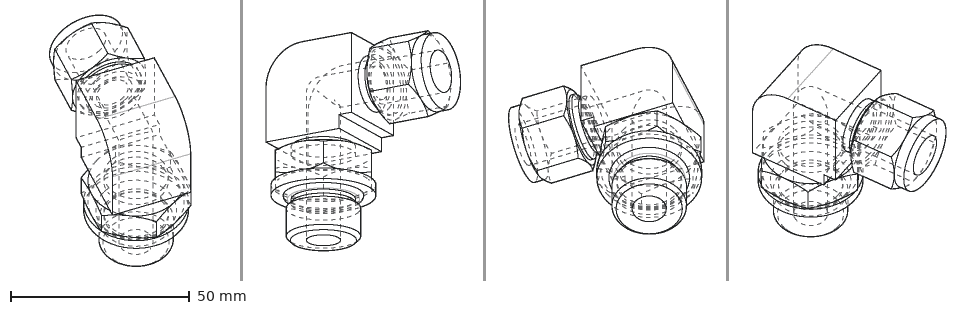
import cadquery as cq
import math


tube_axis_z = 43.5
block_half_width = 11.8
block_left = -15.9
block_bottom = 27.6
step_left = -11.95

tube_end = -38.05
tube_nut_start = -34.9
tube_nut_end = -20.45
tube_nut_flats = 22.0
tube_collar_radius = tube_nut_flats / 2
tube_shoulder_radius = 9.5
tube_shoulder_end = -19.55
tube_cone_end = -18.1
tube_neck_radius = 8.05

stud_radius = 10.45
stud_end_chamfer = 1.2
stud_neck_radius = 9.05
thread_top = 9.5
relief_bottom = thread_top + stud_radius - stud_neck_radius
seal_radius = 11.3
seal_bottom = 12.1
washer_radius = 14.7
washer_bottom = 13.25
stud_nut_bottom = 16.4
stud_nut_top = 25.25
stud_nut_flats = 26.95

bore_radius = 4.8
tube_socket_radius = 6.0
tube_socket_end = tube_cone_end

nut_chamfer_angle = 30


def chamfered_hex_nut(flats, height):
    """Hex nut blank on the Z axis with corners on local X, both ends coned."""
    corner_radius = flats / math.sqrt(3)
    face_radius = flats / 2
    chamfer_height = (corner_radius - face_radius) * math.tan(math.radians(nut_chamfer_angle))
    blank = cq.Workplane("XY").polygon(6, 2 * corner_radius).extrude(height)
    envelope = (
        cq.Workplane("XZ")
        .moveTo(0, 0)
        .lineTo(face_radius, 0)
        .lineTo(corner_radius, chamfer_height)
        .lineTo(corner_radius, height - chamfer_height)
        .lineTo(face_radius, height)
        .lineTo(0, height)
        .close()
        .revolve(360, (0, 0), (0, 1))
    )
    return blank.intersect(envelope)


def x_cylinder(radius, start, end):
    """Cylinder on the tube axis between two X positions."""
    plane = cq.Workplane("YZ", origin=(start, 0, tube_axis_z))
    return plane.circle(radius).extrude(end - start)


def elbow_block():
    """Square elbow with a rounded outer corner and a small step below the tube."""
    top = tube_axis_z + block_half_width
    step_z = tube_axis_z - block_half_width
    corner_reach = block_half_width * math.sqrt(0.5)
    return (
        cq.Workplane("XZ")
        .moveTo(block_left, step_z)
        .lineTo(block_left, top)
        .lineTo(0, top)
        .threePointArc((corner_reach, tube_axis_z + corner_reach), (block_half_width, tube_axis_z))
        .lineTo(block_half_width, block_bottom)
        .lineTo(step_left, block_bottom)
        .lineTo(step_left, step_z)
        .close()
        .extrude(block_half_width, both=True)
    )


def tube_connection():
    """Compression nut with its collar, shoulder cone and neck."""
    profile = (
        cq.Workplane("XZ", origin=(0, 0, tube_axis_z))
        .moveTo(tube_end, 0)
        .lineTo(tube_end, tube_collar_radius)
        .lineTo(tube_nut_end, tube_collar_radius)
        .lineTo(tube_nut_end, tube_shoulder_radius)
        .lineTo(tube_shoulder_end, tube_shoulder_radius)
        .lineTo(tube_cone_end, tube_neck_radius)
        .lineTo(0, tube_neck_radius)
        .lineTo(0, 0)
        .close()
        .revolve(360, (0, 0), (1, 0))
    )
    nut = (
        chamfered_hex_nut(tube_nut_flats, tube_nut_end - tube_nut_start)
        .rotate((0, 0, 0), (0, 1, 0), 90)
        .translate((tube_nut_start, 0, tube_axis_z))
    )
    return profile.union(nut)


def stud_connection():
    """Threaded stud (plain), relief, seal ring, washer and locknut."""
    seal_round = washer_bottom - seal_bottom
    profile = (
        cq.Workplane("XZ")
        .moveTo(0, 0)
        .lineTo(stud_radius - stud_end_chamfer, 0)
        .lineTo(stud_radius, stud_end_chamfer)
        .lineTo(stud_radius, thread_top)
        .lineTo(stud_neck_radius, relief_bottom)
        .lineTo(stud_neck_radius, seal_bottom)
        .lineTo(seal_radius - seal_round, seal_bottom)
        .radiusArc((seal_radius, washer_bottom), -seal_round)
        .lineTo(washer_radius, washer_bottom)
        .lineTo(washer_radius, stud_nut_bottom)
        .lineTo(stud_neck_radius, stud_nut_bottom)
        .lineTo(stud_neck_radius, tube_axis_z)
        .lineTo(0, tube_axis_z)
        .close()
        .revolve(360, (0, 0), (0, 1))
    )
    nut = chamfered_hex_nut(stud_nut_flats, stud_nut_top - stud_nut_bottom)
    return profile.union(nut.translate((0, 0, stud_nut_bottom)))


def passage():
    """Right-angle bore with a spherical corner and a wider tube socket."""
    vertical_bore = cq.Workplane("XY").circle(bore_radius).extrude(tube_axis_z)
    corner = cq.Workplane("XY", origin=(0, 0, tube_axis_z)).sphere(bore_radius)
    horizontal_bore = x_cylinder(bore_radius, tube_end, 0)
    socket = x_cylinder(tube_socket_radius, tube_end, tube_socket_end)
    return vertical_bore.union(corner).union(horizontal_bore).union(socket)


result = elbow_block().union(tube_connection()).union(stud_connection()).cut(passage())